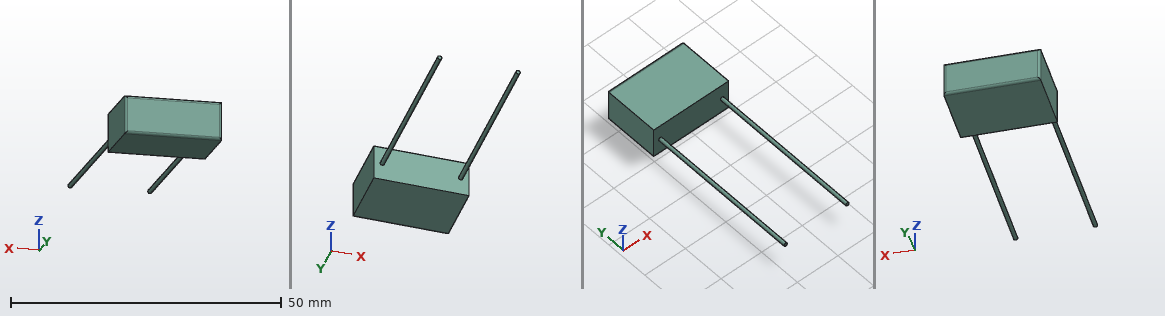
import cadquery as cq


total_length = 48.0

case_width = 18.5
case_length = 12.95
case_height = 7.3
back_edge_radius = 0.5

lead_length = total_length - case_length
lead_diameter = 0.8
lead_spacing = 15.2


def make_case():
    """Box with the four edges of its +Y face rounded."""
    box = cq.Workplane("XY").box(
        case_width, case_length, case_height, centered=(True, False, True)
    )
    return box.faces(">Y").edges().fillet(back_edge_radius)


def make_lead(x):
    """Round wire that butts against the case and runs toward -Y."""
    return cq.Workplane("XZ").center(x, 0).circle(lead_diameter / 2).extrude(lead_length)


case = make_case()
leads = [make_lead(side * lead_spacing / 2) for side in (-1, 1)]

result = cq.Compound.makeCompound([case.val(), *[lead.val() for lead in leads]])